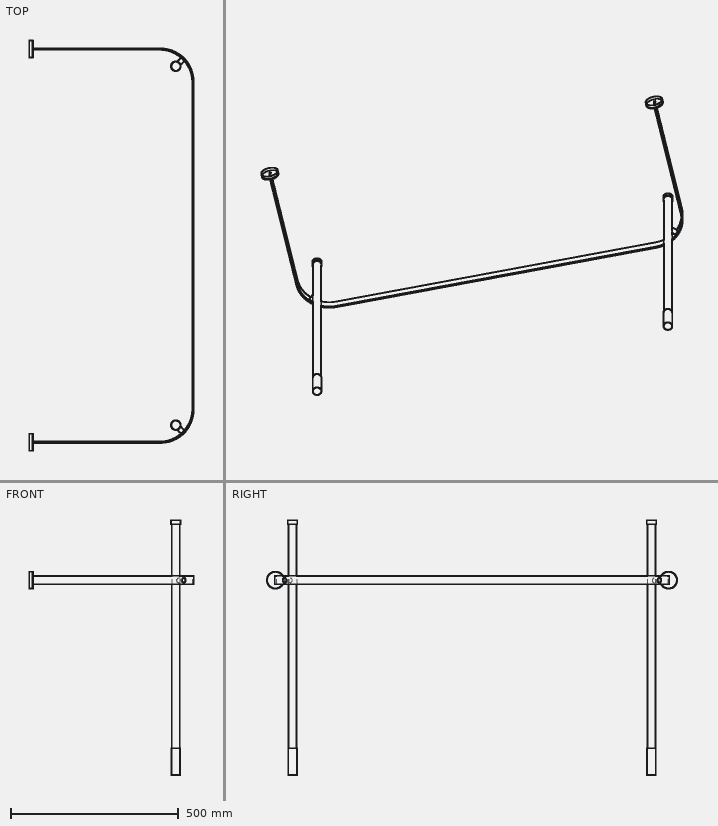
import cadquery as cq
import math

total_reach = 491.0
total_width = 1225.0
total_height = 760.0

flange_diameter = 51.0
flange_recess_diameter = 49.0
flange_depth = 12.0
flange_floor = 4.0
flange_edge_radius = 2.0
flange_y = (total_width - flange_diameter) / 2

rail_height = 26.0
rail_thickness = 5.0
bend_outer_radius = 100.0
bend_inner_radius = bend_outer_radius - rail_thickness
rail_start = flange_depth - flange_floor
rail_outer_y = flange_y + rail_thickness / 2
bend_center_x = total_reach - bend_outer_radius
bend_center_y = rail_outer_y - bend_outer_radius

post_diameter = 25.0
head_diameter = 30.0
head_height = 12.0
post_top = 179.0
post_bottom = post_top - total_height
stud_diameter = 15.0
stud_angle = math.radians(45)
post_offset = 66.0
post_x = bend_center_x + post_offset * math.cos(stud_angle)
post_y = bend_center_y + post_offset * math.sin(stud_angle)

foot_diameter = 27.0
foot_height = 80.0

sides = (-1, 1)


def cylinder_z(diameter, height, x, y, bottom):
    """Upright cylinder standing at the given height."""
    return cq.Workplane("XY", origin=(x, y, bottom)).circle(diameter / 2).extrude(height)


def u_profile(outer_y, front_x, bend_radius):
    """U-shaped block bounded by one face of the bent rail."""
    return (
        cq.Workplane("XY", origin=(0, 0, -rail_height / 2))
        .moveTo(rail_start, -outer_y)
        .lineTo(front_x, -outer_y)
        .lineTo(front_x, outer_y)
        .lineTo(rail_start, outer_y)
        .close()
        .extrude(rail_height)
        .edges("|Z and >X")
        .fillet(bend_radius)
    )


def make_stud(side):
    """Round stud from the post axis to the outer face of the rail bend."""
    direction = cq.Vector(math.cos(stud_angle), side * math.sin(stud_angle), 0)
    start = cq.Vector(post_x, side * post_y, 0)
    length = bend_outer_radius - post_offset
    return cq.Workplane(cq.Solid.makeCylinder(stud_diameter / 2, length, start, direction))


def make_rail():
    """Bent rail, pierced by the studs."""
    outer = u_profile(rail_outer_y, total_reach, bend_outer_radius)
    inner = u_profile(rail_outer_y - rail_thickness, total_reach - rail_thickness, bend_inner_radius)
    rail = outer.cut(inner)
    for side in sides:
        rail = rail.cut(make_stud(side))
    return rail


def make_flange(side):
    """Cup with a rounded front edge and a slot that holds the rail end."""
    center = (0, side * flange_y, 0)
    flange = cq.Workplane("YZ", origin=center).circle(flange_diameter / 2).extrude(flange_depth)
    flange = flange.faces(">X").edges().fillet(flange_edge_radius)
    recess = cq.Workplane("YZ", origin=center).circle(flange_recess_diameter / 2).extrude(rail_start)
    slot = cq.Workplane("YZ", origin=center).rect(rail_thickness, rail_height).extrude(flange_depth)
    return flange.cut(recess).cut(slot)


def make_post(side):
    """Round post with its wider head and its stud."""
    y = side * post_y
    post = cylinder_z(post_diameter, total_height, post_x, y, post_bottom)
    head = cylinder_z(head_diameter, head_height, post_x, y, post_top - head_height)
    return post.union(head).union(make_stud(side))


def make_foot(side):
    """Sleeve that fits around the lower end of a post."""
    y = side * post_y
    foot = cylinder_z(foot_diameter, foot_height, post_x, y, post_bottom)
    return foot.cut(cylinder_z(post_diameter, foot_height, post_x, y, post_bottom))


rail = make_rail()
flanges = [make_flange(side) for side in sides]
posts = [make_post(side) for side in sides]
feet = [make_foot(side) for side in sides]

bodies = [rail, *flanges, *posts, *feet]
result = cq.Compound.makeCompound([body.val() for body in bodies])